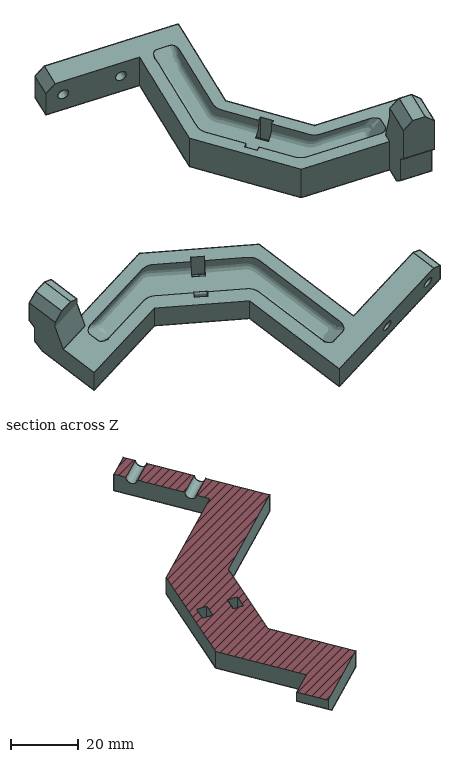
import cadquery as cq
import math

body_height = 12.0
total_length = 93.75
leg_width = 8.0
arm_bottom = 30.2
arm_top = 46.2
arm_bend_outer = 44.4
arm_bend_inner = 34.6
post_left = 54.5
post_right = 69.5
post_bend_inner = arm_top + post_left - arm_bend_inner
post_bend_outer = arm_bottom + post_right - arm_bend_outer
chamfer_size = 3.0

hook_width = 10.0
hook_top = 29.0
hook_right = 79.5
hook_step = 2.0
hook_foot_right = hook_right - hook_step
hook_slope_left = 66.4
hook_slope_top = 22.7

hole_diameter = 3.5
hole_height = 6.5
hole_positions = (5.6, 24.2)

channel_wall = 4.0
channel_depth = 5.0
channel_left = 7.1
channel_far_end = 84.9
bend_radius = 5.0
floor_fillet = 3.0
ramp_fillet = 2.0
cutter_overrun = 1.9
bend_angle = 45
bend_shift = channel_wall * math.tan(math.radians(bend_angle / 2))
floor_height = body_height - channel_depth

slot_length = 4.0
slot_inner = 3.5
slot_outer = 6.6
slot_round = 0.9

inner_line_offset = arm_top - arm_bend_inner
outer_line_offset = arm_bottom - arm_bend_outer
half_span = (inner_line_offset - outer_line_offset) / 4
diagonal_x = (arm_bend_inner + post_left) / 2 + half_span
diagonal_y = (arm_top + post_bend_inner) / 2 - half_span


def make_body():
    outline = [
        (0, 0),
        (leg_width, 0),
        (leg_width, arm_bottom),
        (arm_bend_outer, arm_bottom),
        (post_right, post_bend_outer),
        (post_right, total_length),
        (post_left, total_length),
        (post_left, post_bend_inner),
        (arm_bend_inner, arm_top),
        (0, arm_top),
    ]
    body = cq.Workplane("XY").polyline(outline).close().extrude(body_height)
    return body.faces("<Y").edges(">Z").chamfer(chamfer_size)


def make_hook():
    profile = [
        (post_left, 0),
        (hook_foot_right - chamfer_size, 0),
        (hook_foot_right, chamfer_size),
        (hook_foot_right, body_height),
        (hook_right, body_height + hook_step),
        (hook_right, hook_top),
        (post_right, hook_top),
        (post_right, hook_slope_top),
        (hook_slope_left, body_height),
        (post_left, body_height),
    ]
    far_face = cq.Workplane("XZ", origin=(0, total_length, 0))
    hook = far_face.polyline(profile).close().extrude(hook_width)
    return hook.faces(">Z").edges("|X").chamfer(chamfer_size)


def make_channel():
    """Channel cutter with rounded floor edges and 45 degree end ramps.

    It stands above the top face, with its ramps continued, so the fillets run out cleanly.
    """
    left_end = channel_left - cutter_overrun
    far_end = channel_far_end + cutter_overrun
    lower_wall = arm_bottom + channel_wall
    upper_wall = arm_top - channel_wall
    left_wall = post_left + channel_wall
    right_wall = post_right - channel_wall
    outer_bends = [
        (arm_bend_outer - bend_shift, lower_wall),
        (right_wall, post_bend_outer + bend_shift),
    ]
    inner_bends = [
        (left_wall, post_bend_inner - bend_shift),
        (arm_bend_inner + bend_shift, upper_wall),
    ]
    outline = [
        (left_end, lower_wall),
        *outer_bends,
        (right_wall, far_end),
        (left_wall, far_end),
        *inner_bends,
        (left_end, upper_wall),
    ]
    floor = cq.Workplane("XY", origin=(0, 0, floor_height))
    channel = floor.polyline(outline).close().extrude(channel_depth + 2 * cutter_overrun)

    for x, y in outer_bends + inner_bends:
        bend_edge = cq.selectors.NearestToPointSelector((x, y, body_height))
        channel = channel.edges("|Z").edges(bend_edge).fillet(bend_radius)

    for end_face in ("<X", ">Y"):
        channel = channel.faces(end_face).edges("<Z").chamfer(channel_depth + cutter_overrun)

    channel = channel.faces("<Z").edges("not (<X or >Y)").fillet(floor_fillet)

    for ramp_direction in ((1, 0, -1), (0, 1, 1)):
        ramp_edges = cq.selectors.ParallelDirSelector(cq.Vector(*ramp_direction))
        channel = channel.edges(ramp_edges).fillet(ramp_fillet)
    return channel


def make_holes():
    centers = [(y, hole_height) for y in hole_positions]
    return cq.Workplane("YZ").pushPoints(centers).circle(hole_diameter / 2).extrude(leg_width)


def make_slot(side):
    """Through slot with a rounded inner edge at the channel floor; side is +1 or -1."""
    inner = side * slot_inner
    outer = side * slot_outer
    rounded = side * (slot_inner - slot_round)
    profile = (
        cq.Workplane("XZ")
        .moveTo(inner, 0)
        .lineTo(outer, 0)
        .lineTo(outer, body_height)
        .lineTo(rounded, body_height)
        .lineTo(rounded, floor_height)
        .radiusArc((inner, floor_height - slot_round), side * slot_round)
        .close()
    )
    slot = profile.extrude(slot_length / 2, both=True)
    turned = slot.rotate((0, 0, 0), (0, 0, 1), -bend_angle)
    return turned.translate((diagonal_x, diagonal_y, 0))


result = make_body().union(make_hook()).cut(make_channel()).cut(make_holes())
for slot_side in (1, -1):
    result = result.cut(make_slot(slot_side))